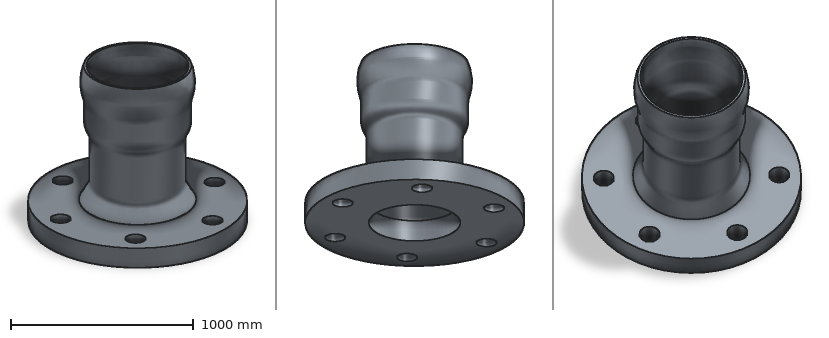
import cadquery as cq
import math

FLANGE_DIAMETER = 1200.0
FLANGE_THICKNESS = 120.0
BOLT_HOLE_DIAMETER = 110.0
BOLT_CIRCLE_DIAMETER = 960.0
BOLT_COUNT = 6

WALL = 15.0
PIPE_RADIUS = 530.0 / 2
SOCKET_RADIUS = 590.0 / 2
BEAD_RADIUS = 630.0 / 2
BORE_RADIUS = PIPE_RADIUS - WALL

FOOT_TOP = 127.0
CONE_TOP = 205.0
PIPE_START = 244.0
PIPE_END = 510.0
SOCKET_BEND_MIDDLE = 548.0
SOCKET_START = 615.0
SOCKET_END = 722.0
BEAD_BEND_MIDDLE = 757.0
BEAD_START = 841.0
BEAD_END = 853.0
TOTAL_HEIGHT = 940.0

CONE_ANGLE = math.radians(30)
FOOT_RADIUS = 615.0 / 2


def add_bend(profile, start_radius, end_radius, start_z, middle_z, end_z, inset):
    """Widen the wall upwards with two tangent arcs that are vertical at both ends.

    The inset moves the curve towards the axis, keeping the arc centres.
    """
    angle = 2 * math.atan((end_radius - start_radius) / (end_z - start_z))
    lower_arc = (middle_z - start_z) / math.sin(angle) + inset
    upper_arc = (end_z - middle_z) / math.sin(angle) - inset

    def lower_point(turn):
        return (start_radius - inset + lower_arc * (1 - math.cos(turn)), start_z + lower_arc * math.sin(turn))

    def upper_point(turn):
        return (end_radius - inset - upper_arc * (1 - math.cos(turn)), end_z - upper_arc * math.sin(turn))

    profile = profile.threePointArc(lower_point(angle / 2), lower_point(angle))
    return profile.threePointArc(upper_point(angle / 2), upper_point(0))


def add_socket_wall(profile, inset):
    """Trace the wall from the straight pipe up through the socket and bead to the mouth."""
    profile = profile.lineTo(PIPE_RADIUS - inset, PIPE_END)
    profile = add_bend(
        profile, PIPE_RADIUS, SOCKET_RADIUS, PIPE_END, SOCKET_BEND_MIDDLE, SOCKET_START, inset
    )
    profile = profile.lineTo(SOCKET_RADIUS - inset, SOCKET_END)
    profile = add_bend(
        profile, SOCKET_RADIUS, BEAD_RADIUS, SOCKET_END, BEAD_BEND_MIDDLE, BEAD_START, inset
    )
    profile = profile.lineTo(BEAD_RADIUS - inset, BEAD_END)

    rise = TOTAL_HEIGHT - BEAD_END
    curl = BEAD_RADIUS - SOCKET_RADIUS
    mouth_arc = (rise**2 + curl**2) / (2 * curl)
    centre_radius = BEAD_RADIUS - inset - mouth_arc
    end_turn = math.asin(rise / mouth_arc)

    def mouth_point(turn):
        return (centre_radius + mouth_arc * math.cos(turn), BEAD_END + mouth_arc * math.sin(turn))

    return profile.threePointArc(mouth_point(end_turn / 2), mouth_point(end_turn))


def revolve_profile(profile):
    return profile.close().revolve(360, (0, 0, 0), (0, 1, 0))


def make_pipe():
    """Thin-walled socket pipe on a conical foot that stands on the flange."""
    blend_arc = (PIPE_START - CONE_TOP) / math.sin(CONE_ANGLE)
    cone_top_radius = PIPE_RADIUS + blend_arc * (1 - math.cos(CONE_ANGLE))
    cone_base_radius = cone_top_radius + (CONE_TOP - FOOT_TOP) * math.tan(CONE_ANGLE)
    blend_middle = (
        PIPE_RADIUS + blend_arc * (1 - math.cos(CONE_ANGLE / 2)),
        PIPE_START - blend_arc * math.sin(CONE_ANGLE / 2),
    )

    outside = (
        cq.Workplane("XZ")
        .moveTo(0, FLANGE_THICKNESS)
        .lineTo(FOOT_RADIUS, FLANGE_THICKNESS)
        .lineTo(cone_base_radius, FOOT_TOP)
        .lineTo(cone_top_radius, CONE_TOP)
        .threePointArc(blend_middle, (PIPE_RADIUS, PIPE_START))
    )
    outside = add_socket_wall(outside, 0).lineTo(0, TOTAL_HEIGHT)

    inside = (
        cq.Workplane("XZ")
        .moveTo(0, FLANGE_THICKNESS)
        .lineTo(BORE_RADIUS, FLANGE_THICKNESS)
    )
    inside = add_socket_wall(inside, WALL).lineTo(0, TOTAL_HEIGHT)

    return revolve_profile(outside).cut(revolve_profile(inside))


def make_flange():
    """Round flange with the pipe bore and a ring of bolt holes."""
    return (
        cq.Workplane("XY")
        .circle(FLANGE_DIAMETER / 2)
        .circle(BORE_RADIUS)
        .extrude(FLANGE_THICKNESS)
        .faces(">Z")
        .workplane(origin=(0, 0, FLANGE_THICKNESS))
        .polarArray(BOLT_CIRCLE_DIAMETER / 2, 0, 360, BOLT_COUNT)
        .hole(BOLT_HOLE_DIAMETER)
    )


pipe = make_pipe()
flange = make_flange()

result = cq.Compound.makeCompound([pipe.val(), flange.val()])